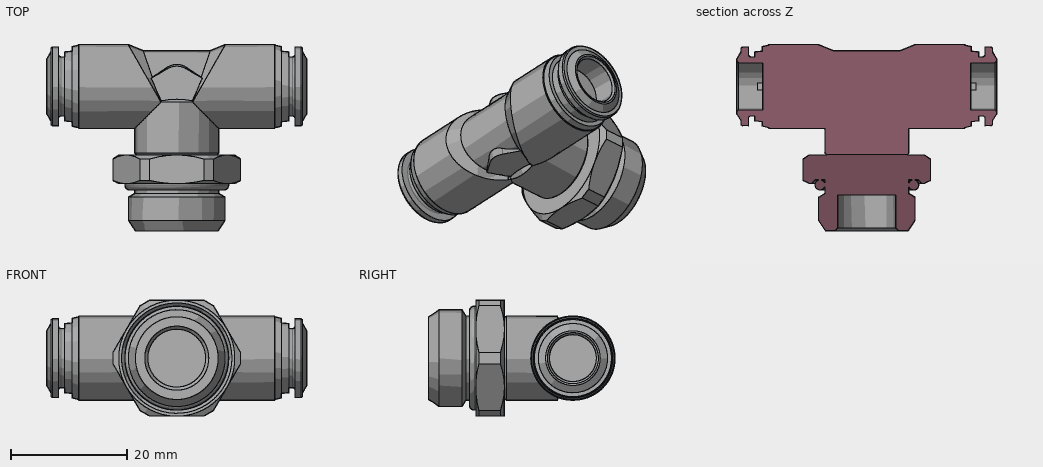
import cadquery as cq
import math

half_length = 22.4
tube_r = 7.25
waist_r = 6.2

shoulder_x = 16.8
shoulder_bevel = 0.15
collar_x = 18.0
collar_r = 6.85
cap_x = 19.3
cap_big_r = 6.1
cap_small_r = 5.95
neck_r = 5.1
neck_fillet = 0.4
flange_x = 20.35
flange_r = 6.8
flange_bevel_length = 0.25
flange_bevel_depth = 0.2
flange_end_x = 21.65
nose_base_r = 5.95
nose_tip_r = 4.7
port_r = 4.05
port_chamfer = 0.35
port_depth = 4.5
slit_start = 3.6
slit_width = 1.15
slit_height = 0.63

arm_plane_offset = 4.25
arm_plane_slope = 0.57
waist_plane_offset = 3.67
waist_plane_slope = 0.34
transition_front_y = -2.25

pad_z = 6.3
pad_base_z = 4.05
pad_wide_x = 4.45
pad_wide_y = 1.4
pad_narrow_x = 2.65
pad_narrow_y = -2.5
pad_arc_r = 3.15
pad_arc_y = 0.35
pad_arc_half_angle = math.radians(31)
pad_draft = 12.0

branch_start_y = -2.7
branch_start_bevel = 0.5
branch_start_drop = tube_r - pad_z
branch_end_y = -11.8
branch_end_bevel = 0.3

stud_end_y = -24.85
hex_flats = 20.0
hex_corner_flats = 21.95
hex_thickness = 4.95
hex_face_r = 10.0
hex_edge_r = 11.1
hex_back_bevel = 0.75
hex_front_bevel = 0.6
relief_r = 7.25
ring_r = 8.95
ring_section_r = 0.9
ring_end_y = -17.85
seat_mouth_r = 9.5
seat_depth = 0.63
relief_end_y = -18.4
thread_r = 8.35
thread_start_y = -19.05
thread_end_y = -23.03
tip_r = 7.12
bore_r = 4.97
bore_chamfer = 0.55
bore_depth = 6.2


def turned_about_x(profile):
    """Revolve a profile of (x, radius) drawn in the XY plane about the X axis."""
    return profile.close().revolve(360, (0, 0, 0), (1, 0, 0))


def turned_about_y(profile):
    """Revolve a profile of (radius, y) drawn in the XY plane about the Y axis."""
    return profile.close().revolve(360, (0, 0, 0), (0, 1, 0))


def right_half_of_run():
    """Arm with tapered collar, cap, necked flange and conical nose."""
    return turned_about_x(
        cq.Workplane("XY")
        .lineTo(0, tube_r)
        .lineTo(shoulder_x, tube_r)
        .lineTo(shoulder_x + shoulder_bevel, tube_r - shoulder_bevel)
        .lineTo(collar_x, collar_r)
        .lineTo(collar_x, cap_big_r)
        .lineTo(cap_x, cap_small_r)
        .lineTo(cap_x, neck_r)
        .lineTo(flange_x - neck_fillet, neck_r)
        .radiusArc((flange_x, neck_r + neck_fillet), -neck_fillet)
        .lineTo(flange_x, flange_r)
        .lineTo(flange_end_x - flange_bevel_length, flange_r)
        .lineTo(flange_end_x, flange_r - flange_bevel_depth)
        .lineTo(flange_end_x, nose_base_r)
        .lineTo(half_length, nose_tip_r)
        .lineTo(half_length, 0)
    )


def beyond_plane(offset, slope):
    """Block filling the space where x is larger than offset + slope * y."""
    reach = half_length
    far_side = 2 * reach
    return (
        cq.Workplane("XY", origin=(0, 0, -reach))
        .moveTo(offset - slope * reach, -reach)
        .lineTo(offset + slope * reach, reach)
        .lineTo(far_side, reach)
        .lineTo(far_side, -reach)
        .close()
        .extrude(2 * reach)
    )


def slanted_section(radius, offset, slope):
    """Outline of a run of this radius cut by an upright slanted plane."""
    rod = cq.Workplane("YZ").circle(radius).extrude(half_length)
    rear = cq.Workplane("XY", origin=(0, transition_front_y, 0)).box(
        2 * half_length, half_length, half_length, centered=(True, False, True)
    )
    cut = rod.intersect(rear).intersect(beyond_plane(offset, slope))
    normal = cq.Vector(-1, slope, 0).normalized()
    slanted = max(cut.faces().vals(), key=lambda face: face.normalAt().dot(normal))
    return slanted.outerWire()


def right_transition():
    """Sloping shoulder leading from the arm down to the waist."""
    outer = slanted_section(tube_r, arm_plane_offset, arm_plane_slope)
    inner = slanted_section(waist_r, waist_plane_offset, waist_plane_slope)
    return cq.Workplane(cq.Solid.makeLoft([outer, inner], True))


def badge_pad():
    """Five-sided flat pad with a rounded apex and drafted walls, on the +Z side."""
    tangent_x = pad_arc_r * math.sin(pad_arc_half_angle)
    tangent_y = pad_arc_y + pad_arc_r * math.cos(pad_arc_half_angle)
    return (
        cq.Workplane("XY", origin=(0, 0, pad_z))
        .moveTo(-pad_narrow_x, pad_narrow_y)
        .lineTo(pad_narrow_x, pad_narrow_y)
        .lineTo(pad_wide_x, pad_wide_y)
        .lineTo(tangent_x, tangent_y)
        .threePointArc((0, pad_arc_y + pad_arc_r), (-tangent_x, tangent_y))
        .lineTo(-pad_wide_x, pad_wide_y)
        .close()
        .extrude(pad_base_z - pad_z, taper=-pad_draft)
    )


def branch():
    return turned_about_y(
        cq.Workplane("XY")
        .lineTo(0, branch_start_y + branch_start_bevel)
        .lineTo(tube_r - branch_start_drop, branch_start_y + branch_start_bevel)
        .lineTo(tube_r, branch_start_y)
        .lineTo(tube_r, branch_end_y + branch_end_bevel)
        .lineTo(tube_r - branch_end_bevel, branch_end_y)
        .lineTo(0, branch_end_y)
    )


def right_port():
    """Blind tube port with a chamfered mouth."""
    return turned_about_x(
        cq.Workplane("XY")
        .moveTo(half_length, 0)
        .lineTo(half_length, port_r + port_chamfer)
        .lineTo(half_length - port_chamfer, port_r)
        .lineTo(half_length - port_depth, port_r)
        .lineTo(half_length - port_depth, 0)
    )


def right_slit():
    """Short slit sunk into the lowest wall of the port, running to its inner end."""
    inner_end = (half_length - port_depth, 0, -port_r - slit_height)
    return cq.Workplane("XY", origin=inner_end).box(
        port_depth - slit_start, slit_width, port_r + slit_height, centered=(False, True, False)
    )


def make_housing():
    arm = right_half_of_run().intersect(beyond_plane(arm_plane_offset, arm_plane_slope))
    side = arm.union(right_transition()).cut(right_port()).cut(right_slit())
    waist_half_length = waist_plane_offset + waist_plane_slope * waist_r
    waist = cq.Workplane("YZ").circle(waist_r).extrude(waist_half_length, both=True)
    pad = badge_pad()
    body = waist.union(branch()).union(pad).union(pad.mirror("XY"))
    return body.union(side).union(side.mirror("YZ"))


def hexagon():
    """Hexagon with flats on top and bottom, flattened corners and bevelled faces."""
    def prism(across_flats, turn):
        across_corners = across_flats / math.cos(math.radians(30))
        return (
            cq.Workplane("XZ", origin=(0, branch_end_y, 0))
            .polygon(6, across_corners)
            .extrude(hex_thickness)
            .rotate((0, 0, 0), (0, 1, 0), turn)
        )

    front_y = branch_end_y - hex_thickness
    bevels = turned_about_y(
        cq.Workplane("XY")
        .moveTo(0, branch_end_y)
        .lineTo(hex_face_r, branch_end_y)
        .lineTo(hex_edge_r, branch_end_y - hex_back_bevel)
        .lineTo(hex_edge_r, front_y + hex_front_bevel)
        .lineTo(hex_face_r, front_y)
        .lineTo(0, front_y)
    )
    return prism(hex_flats, 0).intersect(prism(hex_corner_flats, 30)).intersect(bevels)


def ring_seat():
    """Recess with a 45 degree wall in the front face of the hexagon."""
    hex_front_y = branch_end_y - hex_thickness
    return turned_about_y(
        cq.Workplane("XY")
        .moveTo(0, hex_front_y)
        .lineTo(seat_mouth_r, hex_front_y)
        .lineTo(seat_mouth_r - seat_depth, hex_front_y + seat_depth)
        .lineTo(0, hex_front_y + seat_depth)
    )


def sealing_ring():
    """Ring of round section resting in the seat around the relief."""
    centre_r = ring_r - ring_section_r
    profile = cq.Workplane("XY").center(centre_r, ring_end_y + ring_section_r).circle(ring_section_r)
    return profile.revolve(360, (-centre_r, 0, 0), (-centre_r, 1, 0))


def make_stud():
    shank = turned_about_y(
        cq.Workplane("XY")
        .moveTo(0, branch_end_y)
        .lineTo(relief_r, branch_end_y)
        .lineTo(relief_r, relief_end_y)
        .lineTo(thread_r, thread_start_y)
        .lineTo(thread_r, thread_end_y)
        .lineTo(tip_r, stud_end_y)
        .lineTo(0, stud_end_y)
    )
    bore = turned_about_y(
        cq.Workplane("XY")
        .moveTo(0, stud_end_y)
        .lineTo(bore_r + bore_chamfer, stud_end_y)
        .lineTo(bore_r, stud_end_y + bore_chamfer)
        .lineTo(bore_r, stud_end_y + bore_depth)
        .lineTo(0, stud_end_y + bore_depth)
    )
    return hexagon().cut(ring_seat()).union(sealing_ring()).union(shank).cut(bore)


housing = make_housing()
stud = make_stud()
result = cq.Compound.makeCompound([housing.val(), stud.val()])